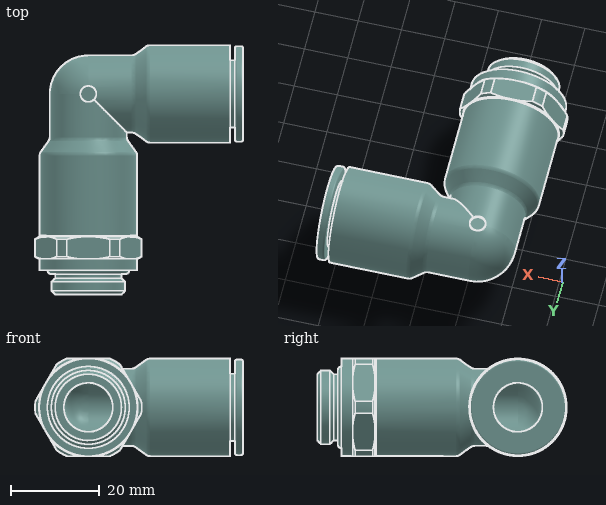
import cadquery as cq
import math

ELBOW_RADIUS = 8.7
BORE_RADIUS = 5.5

SLEEVE_RADIUS = 11.0
SLEEVE_END = 31.85
CONE_START = 10.2
CONE_END = 13.4
CONE_BLEND = 1.4

RING_NECK_RADIUS = 7.6
RING_RADIUS = 10.75
RING_START = 32.9
RING_END = 34.8
RING_ROUND = 0.5

NUT_NECK_RADIUS = 9.55
NUT_START = 32.15
NUT_END = 37.1
NUT_FLATS = 2 * SLEEVE_RADIUS
NUT_CORNER_RADIUS = 12.0
NUT_CHAMFER_HEIGHT = 0.5
NUT_CHAMFER_ANGLE = math.radians(30)
COLLAR_END = 39.65

SEAL_RADIUS = 9.2
SEAL_END = 40.5
SPIGOT_RADIUS = 8.3
SPIGOT_CHAMFER = 0.85
SPIGOT_END = 45.1
SPIGOT_NECK_END = 41.4

RECESS_RADIUS = 1.8
RECESS_DEPTH = 0.45


def cylinder(radius, start, end):
    """Cylinder along Z between two heights."""
    return cq.Workplane("XY").workplane(offset=start).circle(radius).extrude(end - start)


def sleeve_arm():
    """Elbow tube that widens through a blended cone into the sleeve."""
    arm = (
        cq.Workplane("XZ")
        .moveTo(0, 0)
        .lineTo(ELBOW_RADIUS, 0)
        .lineTo(ELBOW_RADIUS, CONE_START)
        .lineTo(SLEEVE_RADIUS, CONE_END)
        .lineTo(SLEEVE_RADIUS, SLEEVE_END)
        .lineTo(0, SLEEVE_END)
        .close()
        .revolve(360, (0, 0, 0), (0, 1, 0))
    )
    return arm.faces("%CONE").edges("%CIRCLE").fillet(CONE_BLEND)


def release_ring():
    """Ring with rounded rims on a narrower neck."""
    neck = cylinder(RING_NECK_RADIUS, SLEEVE_END, RING_START)
    ring = cylinder(RING_RADIUS, RING_START, RING_END).edges("%CIRCLE").fillet(RING_ROUND)
    return neck.union(ring)


def hexagon_nut():
    """Hexagon with turned corners, chamfered on both faces."""
    height = NUT_END - NUT_START
    chamfer_width = NUT_CHAMFER_HEIGHT / math.tan(NUT_CHAMFER_ANGLE)
    corner_diameter = NUT_FLATS / math.cos(math.pi / 6)
    hexagon = (
        cq.Workplane("XY").workplane(offset=NUT_START).polygon(6, corner_diameter).extrude(height)
    )
    turned = (
        cylinder(NUT_CORNER_RADIUS, NUT_START, NUT_END)
        .faces("<Z")
        .chamfer(NUT_CHAMFER_HEIGHT, chamfer_width)
        .faces(">Z")
        .chamfer(NUT_CHAMFER_HEIGHT, chamfer_width)
    )
    return hexagon.intersect(turned)


def threaded_end():
    """Nut, collar, sealing ring and spigot at the end of the -Y arm."""
    neck = cylinder(NUT_NECK_RADIUS, SLEEVE_END, NUT_START)
    collar = cylinder(SLEEVE_RADIUS, NUT_END, COLLAR_END)
    seal_section = SEAL_END - COLLAR_END
    seal = cq.Workplane("XY").add(
        cq.Solid.makeTorus(SEAL_RADIUS - seal_section, seal_section, cq.Vector(0, 0, COLLAR_END))
    )
    spigot_neck = cylinder(SPIGOT_RADIUS - SPIGOT_CHAMFER, COLLAR_END, SPIGOT_NECK_END)
    spigot = (
        cylinder(SPIGOT_RADIUS, SPIGOT_NECK_END, SPIGOT_END)
        .edges("%CIRCLE")
        .chamfer(SPIGOT_CHAMFER)
    )
    return (
        neck.union(hexagon_nut())
        .union(collar)
        .union(spigot_neck)
        .union(spigot)
        .union(seal)
    )


def along_x(shape):
    """Turn a shape from the +Z axis onto the +X axis."""
    return shape.rotate((0, 0, 0), (0, 1, 0), 90)


def along_minus_y(shape):
    """Turn a shape from the +Z axis onto the -Y axis."""
    return shape.rotate((0, 0, 0), (1, 0, 0), 90)


body = (
    cq.Workplane("XY")
    .sphere(ELBOW_RADIUS)
    .union(along_x(sleeve_arm().union(release_ring())))
    .union(along_minus_y(sleeve_arm().union(threaded_end())))
)

passage = (
    cq.Workplane("XY")
    .sphere(BORE_RADIUS)
    .union(along_x(cylinder(BORE_RADIUS, 0, RING_END)))
    .union(along_minus_y(cylinder(BORE_RADIUS, 0, SPIGOT_END)))
)

recess = cylinder(RECESS_RADIUS, ELBOW_RADIUS - RECESS_DEPTH, ELBOW_RADIUS)

result = body.cut(passage).cut(recess)